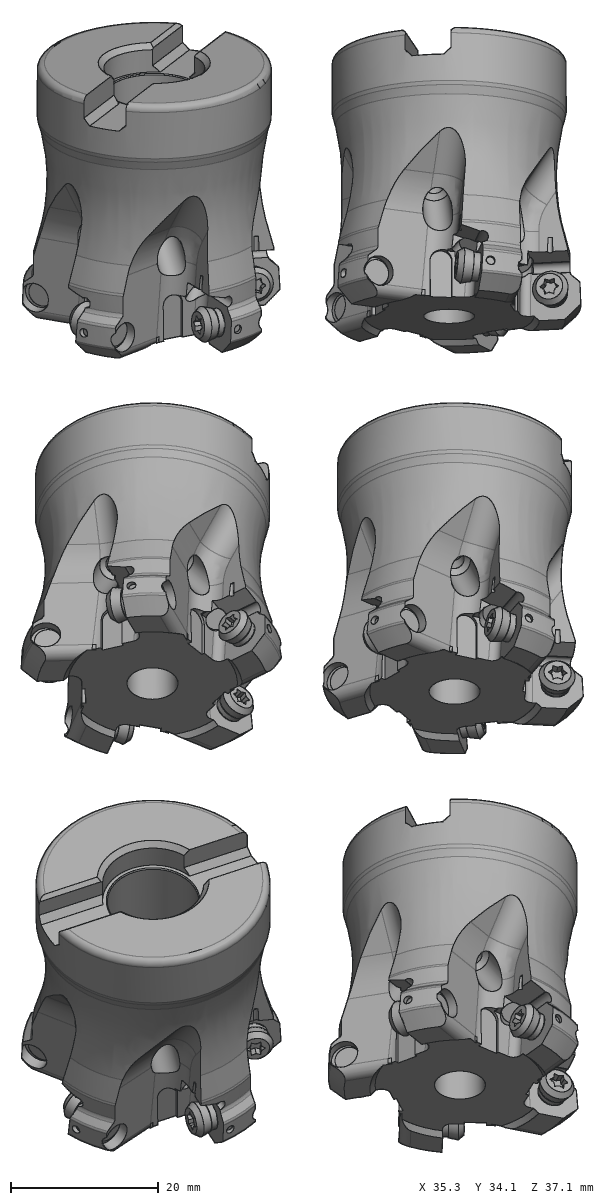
import cadquery as cq
import math

tooth_count = 5
tooth_pitch = 360 / tooth_count
axial_tilt = 4.0
radial_tilt = 18.0
reach = 60.0
overcut = 1.0
level_tolerance = 0.01

height = 37.13
shank_radius = 15.875
rim_radius = 1.0
shank_bottom = 29.4
shank_step = (15.75, 28.85)
waist_top = (15.4, 27.65)
waist = (14.55, 20.8)
waist_bottom = (15.3, 13.5)
collar_radius = 16.4
collar_top = (16.3, 9.7)
collar_edge = 9.35
collar_bottom = 6.5
collar_fillet = 0.8
lug_top = (17.75, 5.3)
lug_bottom = (17.87, 2.1)
lug_top_fillet = 0.5
lug_bottom_fillet = 0.4
foot_radius = 15.7
foot_inner_radius = 12.2
core_bottom = 0.7

bore_radius = 6.2
bore_depth = 18.8
mouth_radius = 6.85
mouth_depth = 4.0
mouth_chamfer = 0.75
ledge_chamfer = 0.15
through_radius = 3.45
through_chamfer = 0.4

keyway_width = 6.3
keyway_depth = 4.0
keyway_corner = 0.95
keyway_edge = 0.55

gullet_floor = 7.86
gullet_floor_top = 12.2
gullet_blend_radius = 10.0
gullet_slope = 32.5
gullet_foot_radius = 1.5
gullet_foot_end = 7.35
gullet_corner_radius = 2.95
gullet_wall_tilt = 5.0
gullet_wall_at = (-4.05, -11.5, 11.0)

screw_distance = 13.95
seat_offset = 2.25
screw_height = 3.75
thread_radius = 1.8
screw_length = 4.2
scallop_radius = 2.05
head_radius = 2.45
head_face_radius = 1.85
head_base_radius = 2.1
head_height = 3.1
head_rim_height = 2.3
head_base_height = 0.95
neck_radius = 1.95
socket_points = 6
socket_radius = 1.25
socket_root_radius = 0.85
socket_depth = 1.2

pocket_inner = 9.6
pocket_corner_radius = 1.2
pocket_upper_inner = 11.0
pocket_seat_top = 3.1
pocket_lip = (4.4, 0.5)
pocket_top = (5.1, 3.5)
pocket_width = 4.0
pocket_groove_radius = 0.75
pocket_groove_height = 3.75
slot_inner = 9.2
slot_radius = 1.5
slot_top = 7.2
slot_center = 2.35
slot_length = 6.0
relief_radius = 1.5
relief_end = (-9.75, -1.5, 8.05)
relief_length = 5.0
relief_direction = (-0.5, 0.5, -0.7)

coolant_at = (-8.35, 2.9, 14.9)
coolant_lean = 37.0
coolant_radius = 1.3
coolant_mouth_radius = 2.0
coolant_mouth_start = 2.0
coolant_mouth_length = 9.0
coolant_drill_length = 7.5

groove_radius = 0.38
groove_at = (-14.0, 0.55)
groove_bottom = 8.6
groove_top = 11.0
dimple_radius = 0.6
dimple_depth = 0.5
dimple_offset = 1.15


def around(shape):
    """Copies of a shape at every tooth position."""
    turned = []
    for i in range(tooth_count):
        turned.append(shape.rotate((0, 0, 0), (0, 0, 1), i * tooth_pitch))
    return turned


def cut_around(target, tool):
    for copy in around(tool):
        target = target.cut(copy)
    return target


tilt = math.radians(axial_tilt)
seat_plane = cq.Plane(
    origin=(-screw_distance, -seat_offset, screw_height),
    xDir=(-1, 0, 0),
    normal=(0, math.cos(tilt), math.sin(tilt)),
)


def make_blank():
    blank = (
        cq.Workplane("XZ")
        .moveTo(0, core_bottom)
        .lineTo(foot_inner_radius - core_bottom, core_bottom)
        .lineTo(foot_inner_radius, 0)
        .lineTo(foot_radius, 0)
        .lineTo(*lug_bottom)
        .lineTo(*lug_top)
        .lineTo(collar_radius, collar_bottom)
        .lineTo(collar_radius, collar_edge)
        .lineTo(*collar_top)
        .lineTo(*waist_bottom)
        .threePointArc(waist, waist_top)
        .lineTo(*shank_step)
        .lineTo(shank_radius, shank_bottom)
        .lineTo(shank_radius, height - rim_radius)
        .radiusArc((shank_radius - rim_radius, height), -rim_radius)
        .lineTo(0, height)
        .close()
        .revolve(360, (0, 0, 0), (0, 1, 0))
    )
    roundings = (
        (collar_bottom, collar_fillet),
        (lug_top[1], lug_top_fillet),
        (lug_bottom[1], lug_bottom_fillet),
    )
    for level, radius in roundings:
        ring_low = (-reach, -reach, level - level_tolerance)
        ring_high = (reach, reach, level + level_tolerance)
        ring = cq.selectors.BoxSelector(ring_low, ring_high)
        blank = blank.edges(ring).fillet(radius)
    return blank


def make_bore():
    bore_floor = height - bore_depth
    ledge = height - mouth_depth
    return (
        cq.Workplane("XZ")
        .moveTo(0, -overcut)
        .lineTo(through_radius, -overcut)
        .lineTo(through_radius, bore_floor - through_chamfer)
        .lineTo(through_radius + through_chamfer, bore_floor)
        .lineTo(bore_radius, bore_floor)
        .lineTo(bore_radius, ledge - ledge_chamfer)
        .lineTo(bore_radius + ledge_chamfer, ledge)
        .lineTo(mouth_radius, ledge)
        .lineTo(mouth_radius, height - mouth_chamfer)
        .lineTo(mouth_radius + mouth_chamfer, height)
        .lineTo(0, height)
        .close()
        .revolve(360, (0, 0, 0), (0, 1, 0))
    )


def make_keyway():
    half = keyway_width / 2
    floor = height - keyway_depth
    channel = (
        cq.Workplane("XZ")
        .moveTo(-half + keyway_corner, floor)
        .lineTo(half - keyway_corner, floor)
        .lineTo(half, floor + keyway_corner)
        .lineTo(half, height)
        .lineTo(-half, height)
        .lineTo(-half, floor + keyway_corner)
        .close()
        .extrude(reach / 2, both=True)
    )
    edge = (
        cq.Workplane("XZ")
        .moveTo(-half, height - keyway_edge)
        .lineTo(-half - keyway_edge, height)
        .lineTo(half + keyway_edge, height)
        .lineTo(half, height - keyway_edge)
        .close()
        .extrude(-reach / 2)
    )
    return channel.union(edge)


def make_gullet():
    slope = math.radians(gullet_slope)
    blend_y = -gullet_floor - gullet_blend_radius * (1 - math.cos(slope))
    blend_z = gullet_floor_top + gullet_blend_radius * math.sin(slope)
    middle_y = -gullet_floor - gullet_blend_radius * (1 - math.cos(slope / 2))
    middle_z = gullet_floor_top + gullet_blend_radius * math.sin(slope / 2)
    end_y = -shank_radius - gullet_floor
    end_z = blend_z + (blend_y - end_y) / math.tan(slope)
    milled = (
        cq.Workplane("YZ")
        .moveTo(-gullet_floor, -reach)
        .lineTo(-gullet_floor, gullet_floor_top)
        .threePointArc((middle_y, middle_z), (blend_y, blend_z))
        .lineTo(end_y, end_z)
        .lineTo(end_y, -reach)
        .close()
        .extrude(reach, both=True)
    )
    wall = (
        cq.Workplane("XY")
        .box(reach * 2, reach * 4, reach * 4, centered=(False, True, True))
        .rotate((0, 0, 0), (0, 1, 0), gullet_wall_tilt)
        .rotate((0, 0, 0), (0, 0, 1), -radial_tilt)
        .translate(gullet_wall_at)
    )
    near_low = (-reach / 3, -reach / 3, -reach / 2)
    near_high = (0, 0, reach / 2)
    corner_edges = cq.selectors.BoxSelector(near_low, near_high)
    return milled.cut(wall).edges(corner_edges).fillet(gullet_corner_radius)


def make_gullet_foot():
    middle = gullet_foot_radius * (1 - math.sqrt(0.5))
    return (
        cq.Workplane("YZ", origin=(-gullet_foot_end, 0, 0))
        .moveTo(-gullet_floor, gullet_foot_radius)
        .threePointArc((-gullet_floor + middle, middle), (-gullet_floor + gullet_foot_radius, 0))
        .lineTo(-gullet_floor, 0)
        .close()
        .extrude(-reach)
    )


def pocket_part(inner, outline):
    """Outline of (height, distance from the seat) points, swept outward from an inner wall."""
    plane = cq.Plane(
        origin=seat_plane.toWorldCoords((inner - screw_distance, 0, 0)).toTuple(),
        xDir=seat_plane.yDir.toTuple(),
        normal=seat_plane.xDir.toTuple(),
    )
    return cq.Workplane(plane).polyline(outline).close().extrude(reach)


def make_pocket():
    lower_outline = [
        (-reach, 0),
        (pocket_seat_top, 0),
        (pocket_seat_top, pocket_width),
        (-reach, pocket_width),
    ]
    upper_outline = [
        (0, 0),
        (pocket_seat_top, 0),
        pocket_lip,
        pocket_top,
        (pocket_top[0], pocket_width),
        (0, pocket_width),
    ]
    corner_middle = (pocket_inner - screw_distance, (pocket_seat_top - reach) / 2, 0)
    inner_corner = cq.selectors.NearestToPointSelector(
        seat_plane.toWorldCoords(corner_middle).toTuple()
    )
    lower = pocket_part(pocket_inner, lower_outline).edges(inner_corner).fillet(pocket_corner_radius)
    upper = pocket_part(pocket_upper_inner, upper_outline)
    groove_plane = cq.Plane(
        origin=seat_plane.toWorldCoords((pocket_upper_inner - screw_distance, pocket_groove_height, 0)),
        normal=seat_plane.xDir,
    )
    groove = cq.Workplane(groove_plane).circle(pocket_groove_radius).extrude(reach)
    slot_height = slot_top - slot_radius
    slot = (
        cq.Workplane("YZ", origin=(-slot_inner, slot_center, 0))
        .moveTo(-slot_radius, -overcut)
        .lineTo(slot_radius, -overcut)
        .lineTo(slot_radius, slot_height)
        .threePointArc((0, slot_top), (-slot_radius, slot_height))
        .close()
        .extrude(-slot_length)
    )
    relief_plane = cq.Plane(origin=relief_end, normal=relief_direction)
    relief = cq.Workplane(relief_plane).circle(relief_radius).extrude(relief_length)
    return lower.union(upper).union(groove).union(slot).union(relief)


def make_screw_hole():
    hole = cq.Workplane(seat_plane).circle(thread_radius).extrude(-reach / 4)
    scallop = (
        cq.Workplane(seat_plane)
        .workplane(offset=-screw_length)
        .center(scallop_radius - thread_radius, 0)
        .circle(scallop_radius)
        .extrude(-reach / 4)
    )
    return hole.union(scallop)


def make_coolant_hole():
    lean = math.radians(coolant_lean)
    plane = cq.Plane(origin=coolant_at, xDir=(0, 1, 0), normal=(math.sin(lean), 0, math.cos(lean)))
    drill = cq.Workplane(plane).circle(coolant_radius).extrude(coolant_drill_length)
    mouth = (
        cq.Workplane(plane)
        .workplane(offset=coolant_mouth_start)
        .circle(coolant_mouth_radius)
        .extrude(-coolant_mouth_length)
    )
    cone = cq.Solid.makeCone(
        coolant_mouth_radius,
        0,
        coolant_mouth_radius,
        pnt=plane.toWorldCoords((0, 0, coolant_mouth_start)),
        dir=plane.zDir,
    )
    return drill.union(mouth).union(cq.Workplane(cone))


def make_dimple():
    plane = cq.Plane(origin=(0, -dimple_offset - seat_offset, screw_height), normal=(-1, 0, 0))
    bottom = math.sqrt(lug_top[0] ** 2 - plane.origin.y ** 2) - dimple_depth
    return cq.Workplane(plane).workplane(offset=bottom).circle(dimple_radius).extrude(reach)


def make_groove():
    groove = cq.Workplane("XY", origin=(*groove_at, groove_bottom)).circle(groove_radius)
    return groove.extrude(groove_top - groove_bottom)


def make_body():
    body = make_blank().cut(make_bore()).cut(make_keyway())
    tools = (
        make_gullet(),
        make_gullet_foot(),
        make_pocket(),
        make_screw_hole(),
        make_coolant_hole(),
        make_dimple(),
        make_groove(),
    )
    for tool in tools:
        body = cut_around(body, tool)
    return body


def make_screw():
    turning_plane = cq.Plane(
        origin=seat_plane.origin.toTuple(),
        xDir=seat_plane.xDir.toTuple(),
        normal=(-seat_plane.yDir).toTuple(),
    )
    screw = (
        cq.Workplane(turning_plane)
        .moveTo(0, -screw_length)
        .lineTo(thread_radius, -screw_length)
        .lineTo(thread_radius, 0)
        .lineTo(neck_radius, 0)
        .lineTo(neck_radius, head_base_height)
        .lineTo(head_base_radius, head_base_height)
        .lineTo(head_radius, head_rim_height)
        .lineTo(head_face_radius, head_height)
        .lineTo(0, head_height)
        .close()
        .revolve(360, (0, 0, 0), (0, 1, 0))
    )
    star = []
    for i in range(2 * socket_points):
        radius = socket_root_radius if i % 2 else socket_radius
        angle = i * math.pi / socket_points
        star.append((radius * math.cos(angle), radius * math.sin(angle)))
    face = cq.Workplane(seat_plane).workplane(offset=head_height)
    return screw.cut(face.polyline(star).close().extrude(-socket_depth))


body = make_body()
screws = [screw.solids().val() for screw in around(make_screw())]
result = cq.Compound.makeCompound([body.solids().val(), *screws])